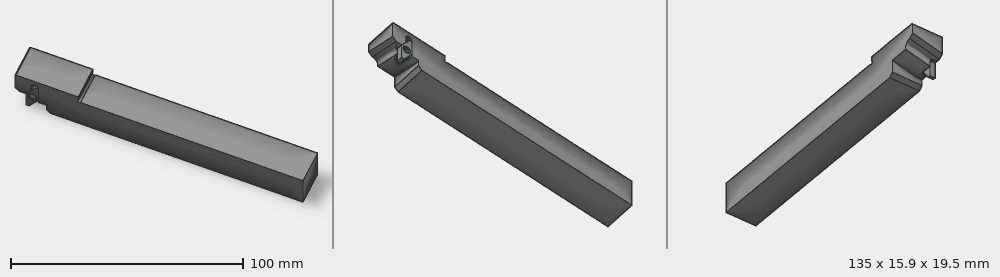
import cadquery as cq
import math

length = 135.0
width = 15.9
height = 19.5
shank_height = 15.9
head_length = 29.7
nose_chamfer = 0.5
relief_radius = 0.8
relief_offset = (0.4, 0.4)
heel_x = 14.7
heel_chamfer = 1.9

rise_angle = 14.0
nose_bottom = 10.0
roof_x = 2.2
roof_z = 8.2
wall_x = 5.1
roof_fillet = wall_x - roof_x

insert_thickness = 2.8
insert_x = 8.1
insert_half_width = 3.0
insert_height = 14.7
insert_z = insert_height / 2
tip_width = 1.5
shoulder_z = 8.2
screw_hole_diameter = 3.2
countersink_diameter = 4.0
countersink_angle = 90.0

insert_right = insert_x + insert_half_width
slot_width = 3.5
slot_top = 16.9
slot_bottom = 11.1
ledge_z = 5.0


def side_plane(y):
    """XZ plane at a given Y; extrude negative to go towards +Y."""
    return cq.Workplane("XZ", origin=(0, y, 0))


def insert_outline():
    left = insert_x - insert_half_width
    upper_half = [
        (left, shoulder_z),
        (insert_right - tip_width, insert_height),
        (insert_right, insert_height),
    ]
    lower_half = [(2 * insert_x - x, 2 * insert_z - z) for x, z in upper_half]
    return side_plane(0).polyline(upper_half + lower_half).close()


def make_insert_blank():
    return insert_outline().extrude(-insert_thickness)


def make_insert():
    return (
        make_insert_blank()
        .faces("<Y").workplane(origin=(insert_x, 0, insert_z))
        .cskHole(screw_hole_diameter, countersink_diameter, countersink_angle)
    )


def make_bar():
    return (
        side_plane(0)
        .moveTo(0, 0)
        .lineTo(length, 0)
        .lineTo(length, shank_height)
        .lineTo(head_length, shank_height)
        .lineTo(head_length, height)
        .lineTo(nose_chamfer, height)
        .lineTo(0, height - nose_chamfer)
        .close()
        .extrude(-width)
    )


def corner_relief():
    dx, dz = relief_offset
    return side_plane(0).center(head_length + dx, shank_height + dz).circle(relief_radius).extrude(-width)


def underside_space():
    """Space below the head, swept obliquely so that it rises towards +Y."""
    rise = width * math.tan(math.radians(rise_angle))
    front_ledge_z = ledge_z - insert_thickness * math.tan(math.radians(rise_angle))
    arc_z = roof_z - roof_fillet
    diagonal = roof_fillet * math.sqrt(0.5)
    section = (
        side_plane(0)
        .moveTo(0, -rise)
        .lineTo(0, nose_bottom)
        .lineTo(roof_x, roof_z)
        .threePointArc((roof_x + diagonal, arc_z + diagonal), (wall_x, arc_z))
        .lineTo(wall_x, front_ledge_z)
        .lineTo(heel_x, front_ledge_z)
        .lineTo(heel_x, -rise)
        .close()
    )
    return cq.Workplane(cq.Solid.extrudeLinear(section.val(), [], cq.Vector(0, width, rise)))


def heel_bevel():
    return (
        side_plane(0)
        .moveTo(0, 0)
        .lineTo(heel_x, heel_chamfer)
        .lineTo(heel_x + heel_chamfer, 0)
        .close()
        .extrude(-width)
    )


def front_clearance():
    """Flat-roofed space around the insert, as deep as the insert is thick."""
    steps = [(insert_x, roof_z), (insert_right, insert_z), (heel_x, ledge_z)]
    space = cq.Workplane()
    for step_x, step_z in steps:
        space = space.union(cq.Workplane().box(step_x, insert_thickness, step_z, centered=False))
    return space


def pocket():
    radius = slot_width / 2
    slot_x = insert_right - radius
    straight_top = slot_top - radius
    slot = (
        side_plane(0)
        .moveTo(insert_right - slot_width, slot_bottom)
        .lineTo(insert_right - slot_width, straight_top)
        .threePointArc((slot_x, slot_top), (insert_right, straight_top))
        .lineTo(insert_right, slot_bottom)
        .close()
        .extrude(-insert_thickness)
    )
    return make_insert_blank().union(slot)


def make_holder():
    return (
        make_bar()
        .cut(corner_relief())
        .cut(underside_space())
        .cut(heel_bevel())
        .cut(front_clearance())
        .cut(pocket())
    )


holder = make_holder()
insert = make_insert()

result = cq.Compound.makeCompound([holder.val(), insert.val()])